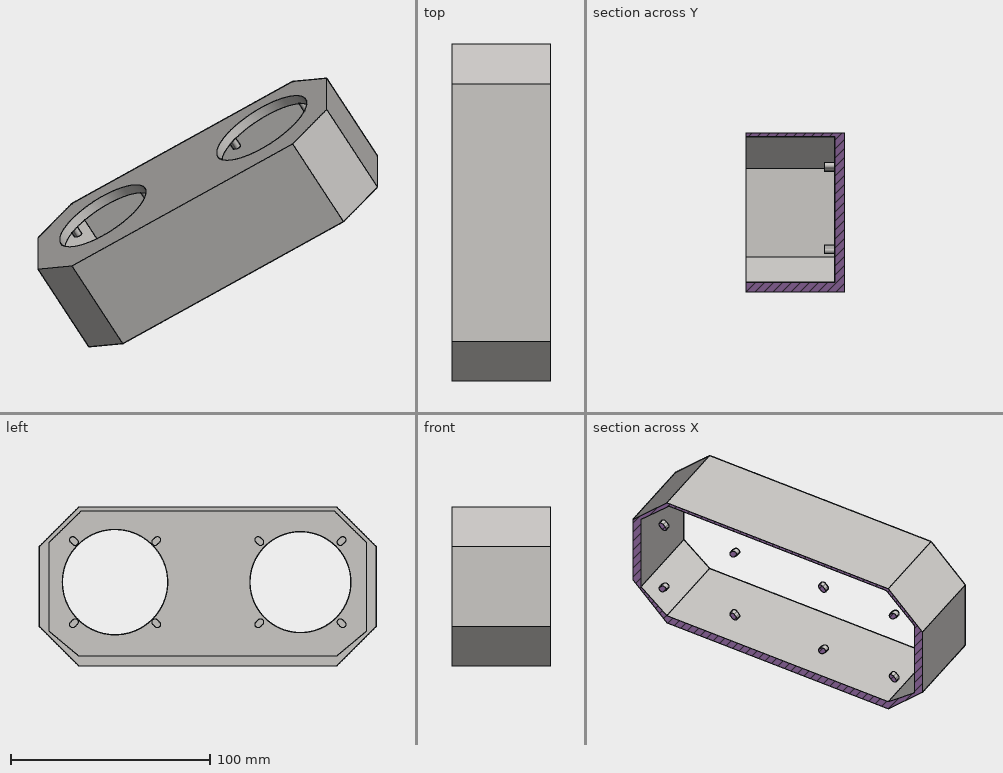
import cadquery as cq

DEPTH = 49.5
LENGTH = 169.2
HEIGHT = 80.0
CORNER_CUT = 20.0

FLOOR = 5.0
END_WALL = 4.9
TOP_WALL = 2.0
BOTTOM_WALL = 5.0

TOP_CUT_Y = 16.2
TOP_CUT_Z = 15.9
BOTTOM_CUT_Y = 15.0
BOTTOM_CUT_Z = 12.5

OPENING_OFFSET = 46.5
OPENING_Z = 2.2
LARGE_OPENING = 52.8
SMALL_OPENING = 50.6

PIN_SPACING = 41.3
PIN_LENGTH = 4.9
PIN_WIDTH = 3.2
PIN_HEIGHT = 5.0

FLOOR_X = DEPTH / 2 - FLOOR


def section(x):
    """Work plane at the given X, with local axes along Y and Z."""
    return cq.Workplane("YZ", origin=(x, 0, 0))


def octagon(x, half_length, bottom, top, bottom_cut, top_cut):
    """Rectangle in Y and Z with its corners cut; each cut is a (Y, Z) pair."""
    bottom_y, bottom_z = bottom_cut
    top_y, top_z = top_cut
    points = [
        (-half_length + bottom_y, bottom),
        (half_length - bottom_y, bottom),
        (half_length, bottom + bottom_z),
        (half_length, top - top_z),
        (half_length - top_y, top),
        (-half_length + top_y, top),
        (-half_length, top - top_z),
        (-half_length, bottom + bottom_z),
    ]
    return section(x).polyline(points).close()


def make_box():
    corner = (CORNER_CUT, CORNER_CUT)
    outside = octagon(-DEPTH / 2, LENGTH / 2, -HEIGHT / 2, HEIGHT / 2, corner, corner).extrude(DEPTH)
    cavity = octagon(
        -DEPTH / 2,
        LENGTH / 2 - END_WALL,
        -HEIGHT / 2 + BOTTOM_WALL,
        HEIGHT / 2 - TOP_WALL,
        (BOTTOM_CUT_Y, BOTTOM_CUT_Z),
        (TOP_CUT_Y, TOP_CUT_Z),
    ).extrude(DEPTH - FLOOR)
    return outside.cut(cavity)


def make_opening(center_y, diameter):
    return section(FLOOR_X).center(center_y, OPENING_Z).circle(diameter / 2).extrude(FLOOR)


def make_pins(center_y):
    """Four pins on a square, each with its long side pointing at the opening's center."""
    pins = section(FLOOR_X)
    half = PIN_SPACING / 2
    for side_y in (-1, 1):
        for side_z in (-1, 1):
            angle = 45 * side_y * side_z
            spot = (center_y + side_y * half, OPENING_Z + side_z * half)
            pin = section(FLOOR_X).pushPoints([spot]).slot2D(PIN_LENGTH, PIN_WIDTH, angle)
            pins = pins.add(pin.extrude(-PIN_HEIGHT))
    return pins.combine()


result = make_box()
for opening_y, opening_diameter in ((OPENING_OFFSET, LARGE_OPENING), (-OPENING_OFFSET, SMALL_OPENING)):
    result = result.union(make_pins(opening_y))
    result = result.cut(make_opening(opening_y, opening_diameter))